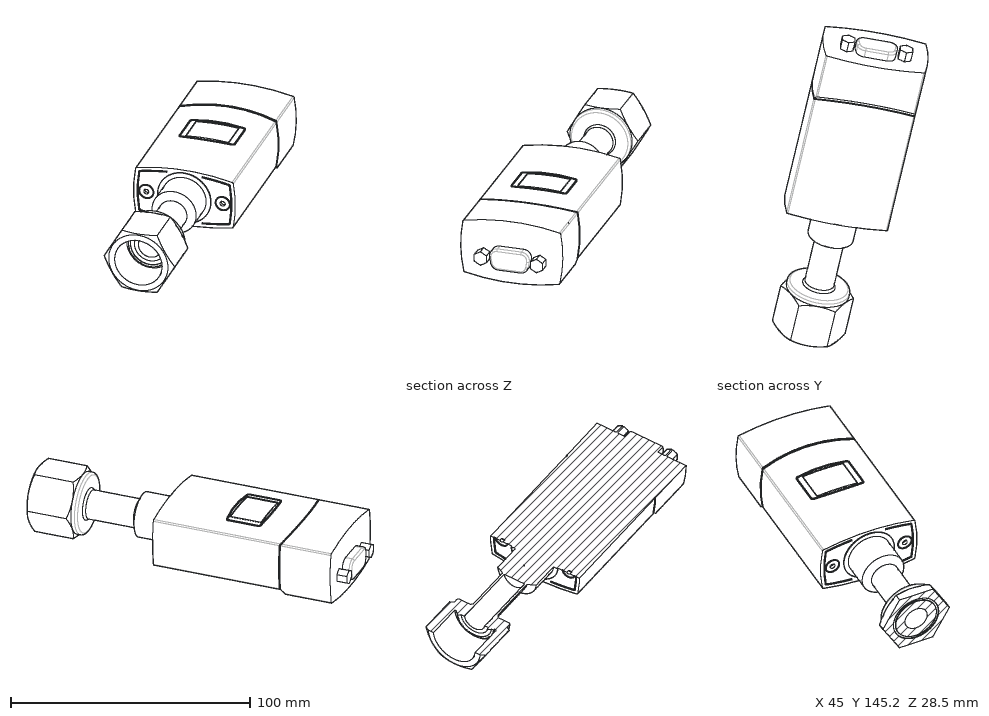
import cadquery as cq
import math


HOUSING_FRONT = 60.5
HOUSING_BACK = 140.7
SIDE_HALF_WIDTH = 22.5
CORNER_HALF_WIDTH = 21.5
CROWN_HEIGHT = 13.0
CORNER_HEIGHT = 10.7
CORNER_ROUND = 0.7
CAP_DROP = 2.0

SEAM_Y = 117.6
SEAM_BEND_HEIGHT = 10.5

GROOVE_WIDTH = 0.5
GROOVE_DEPTH = 0.3

FRAME_Y = 97.3
FRAME_HALF_WIDTH = 12.3
FRAME_HALF_LENGTH = 7.7
FRAME_BULGE = 0.9
FRAME_CORNER = 1.2
WINDOW_WIDTH = 18.9
WINDOW_LENGTH = 14.0
WINDOW_DEPTH = 0.5

PLATE_MARGIN = 1.6
PLATE_CORNER = 0.7
PLATE_GROOVE_START = 7.8
SCREW_X = 16.8
SCREW_HOLE_DIAMETER = 6.5
SCREW_HEAD_DIAMETER = 6.0
SOCKET_DIAMETER = 2.2
SOCKET_DEPTH = 1.5

RING_RADIUS = 11.8
RING_FACE = 60.1
NECK_RADIUS = 9.7
NECK_TAPER_START = 47.0
NECK_TAPER_END = 45.3
TUBE_RADIUS = 6.2
FLARE_START = 23.8
FLARE_RADIUS = 7.0

NUT_FLATS = 27.0
NUT_LENGTH = 20.0
NUT_FACE_RADIUS = 13.0
NUT_CHAMFER_ANGLE = 30.0
COLLAR_RADIUS = 13.43
COLLAR_END = 22.7
COLLAR_ROUND = 1.0

NUT_BORE_RADIUS = 10.5
NUT_BORE_DEPTH = 16.0
GLAND_RADIUS = 9.6
GLAND_HEIGHT = 0.7
BEAD_OUTER_RADIUS = 8.5
BEAD_INNER_RADIUS = 6.8
GAS_HOLE_RADIUS = 5.1
GAS_HOLE_END = 45.0

CONNECTOR_Z = -3.6
CONNECTOR_WIDTH = 18.9
CONNECTOR_HEIGHT = 9.6
CONNECTOR_SIDE_ANGLE = 10.0
CONNECTOR_CORNER = 3.5
CONNECTOR_END = 144.6
CONNECTOR_ROUND = 0.9
JACK_X = 12.3
JACK_FLATS = 5.4
JACK_END = 145.2


def xz_plane(y):
    """Plane across the tube axis at y, with local axes X and Z and its normal along -Y."""
    return cq.Workplane(cq.Plane(origin=(0, y, 0), xDir=(1, 0, 0), normal=(0, -1, 0)))


def cylinder(radius, start, end, x=0.0):
    return xz_plane(start).center(x, 0).circle(radius).extrude(start - end)


def revolve_about_axis(points):
    """Solid of revolution about the tube axis from (radius, y) points."""
    return cq.Workplane("XY").polyline(points).close().revolve(360, (0, 0, 0), (0, 1, 0))


def side_half_width(z):
    """Half width of the housing at height z, following the side arc."""
    bulge = SIDE_HALF_WIDTH - CORNER_HALF_WIDTH
    radius = (CORNER_HEIGHT**2 + bulge**2) / (2 * bulge)
    return SIDE_HALF_WIDTH - radius + math.sqrt(radius**2 - z**2)


def housing_outline(y, drop=0.0):
    low_z = -CORNER_HEIGHT - drop
    low_x = side_half_width(low_z)
    return (
        xz_plane(y)
        .moveTo(-CORNER_HALF_WIDTH, CORNER_HEIGHT)
        .threePointArc((0, CROWN_HEIGHT), (CORNER_HALF_WIDTH, CORNER_HEIGHT))
        .threePointArc((SIDE_HALF_WIDTH, 0), (low_x, low_z))
        .threePointArc((0, -CROWN_HEIGHT - drop), (-low_x, low_z))
        .threePointArc((-SIDE_HALF_WIDTH, 0), (-CORNER_HALF_WIDTH, CORNER_HEIGHT))
        .close()
    )


def housing_block(start, end, drop=0.0):
    block = housing_outline(start, drop).extrude(start - end)
    return block.edges("|Y").fillet(CORNER_ROUND)


def housing_core(depth):
    """Housing shape shrunk by depth, for cuts that go in only that far."""
    return housing_outline(HOUSING_FRONT).offset2D(-depth).extrude(HOUSING_FRONT - HOUSING_BACK)


def extrude_across(points):
    """Prism along X, wider than the housing, from (y, z) points."""
    return cq.Workplane("YZ").polyline(points).close().extrude(SIDE_HALF_WIDTH + 1.5, both=True)


def seam_line(shift):
    """Seam seen from the side as (y, z) points, shifted along Y."""
    reach = CROWN_HEIGHT + CAP_DROP + 1.5
    lean = reach - SEAM_BEND_HEIGHT
    y = SEAM_Y + shift
    return [
        (y + lean, -reach),
        (y, -SEAM_BEND_HEIGHT),
        (y, SEAM_BEND_HEIGHT),
        (y + lean, reach),
    ]


def make_housing():
    front = housing_block(HOUSING_FRONT, HOUSING_BACK)
    (bottom_y, bottom_z), *_, (top_y, top_z) = seam_line(0)
    cap_limits = seam_line(0) + [(HOUSING_BACK, top_z), (HOUSING_BACK, bottom_z)]
    cap = housing_block(SEAM_Y, HOUSING_BACK, CAP_DROP).intersect(extrude_across(cap_limits))
    band = extrude_across(seam_line(-GROOVE_WIDTH / 2) + seam_line(GROOVE_WIDTH / 2)[::-1])
    return front.union(cap).cut(band.cut(housing_core(GROOVE_DEPTH)))


def frame_prism(margin):
    """Vertical prism over the display frame outline, moved inwards by margin."""
    x = FRAME_HALF_WIDTH - margin
    y = FRAME_HALF_LENGTH - margin
    return (
        cq.Workplane("XY")
        .center(0, FRAME_Y)
        .moveTo(-x, y)
        .threePointArc((0, y + FRAME_BULGE), (x, y))
        .lineTo(x, -y)
        .threePointArc((0, -y - FRAME_BULGE), (-x, -y))
        .close()
        .extrude(CROWN_HEIGHT)
        .edges("|Z")
        .fillet(FRAME_CORNER - margin)
    )


def display_cutter():
    groove = frame_prism(0).cut(frame_prism(GROOVE_WIDTH)).cut(housing_core(GROOVE_DEPTH))
    window = cq.Workplane("XY").center(0, FRAME_Y).rect(WINDOW_WIDTH, WINDOW_LENGTH).extrude(CROWN_HEIGHT)
    return groove.union(window.cut(housing_core(WINDOW_DEPTH)))


def plate_prism(margin):
    plate = housing_outline(HOUSING_FRONT).offset2D(-margin).extrude(-GROOVE_DEPTH)
    return plate.edges("|Y").fillet(PLATE_CORNER)


def plate_groove():
    groove = plate_prism(PLATE_MARGIN).cut(plate_prism(PLATE_MARGIN + GROOVE_WIDTH))
    middle = xz_plane(HOUSING_FRONT).rect(2 * PLATE_GROOVE_START, 2 * CROWN_HEIGHT).extrude(-GROOVE_DEPTH)
    return groove.cut(middle)


def screw_cutter(x):
    """Gap around a flush screw head, and the socket in the head."""
    floor = HOUSING_FRONT + GROOVE_DEPTH
    hole = cylinder(SCREW_HOLE_DIAMETER / 2, HOUSING_FRONT, floor, x)
    head = cylinder(SCREW_HEAD_DIAMETER / 2, HOUSING_FRONT, floor, x)
    socket = cylinder(SOCKET_DIAMETER / 2, HOUSING_FRONT, HOUSING_FRONT + SOCKET_DEPTH, x)
    return hole.cut(head).union(socket)


def make_neck():
    """Base ring, tapered neck, tube and the flare where the tube meets the nut."""
    overlap = HOUSING_FRONT + 1.5
    return revolve_about_axis([
        (0, NUT_BORE_DEPTH),
        (FLARE_RADIUS, NUT_BORE_DEPTH),
        (FLARE_RADIUS, COLLAR_END),
        (TUBE_RADIUS, FLARE_START),
        (TUBE_RADIUS, NECK_TAPER_END),
        (NECK_RADIUS, NECK_TAPER_START),
        (NECK_RADIUS, RING_FACE),
        (RING_RADIUS, RING_FACE),
        (RING_RADIUS, overlap),
        (0, overlap),
    ])


def make_nut():
    corner_radius = NUT_FLATS / math.sqrt(3)
    slope = math.tan(math.radians(NUT_CHAMFER_ANGLE))
    front_chamfer = (corner_radius - NUT_FACE_RADIUS) * slope
    back_chamfer = (corner_radius - COLLAR_RADIUS) * slope
    envelope = revolve_about_axis([
        (0, 0),
        (NUT_FACE_RADIUS, 0),
        (corner_radius, front_chamfer),
        (corner_radius, NUT_LENGTH - back_chamfer),
        (COLLAR_RADIUS, NUT_LENGTH),
        (0, NUT_LENGTH),
    ])
    hexagon = xz_plane(0).polygon(6, 2 * corner_radius).extrude(-NUT_LENGTH).intersect(envelope)
    collar = cylinder(COLLAR_RADIUS, NUT_LENGTH, COLLAR_END).faces(">Y").edges().fillet(COLLAR_ROUND)
    bore = cylinder(NUT_BORE_RADIUS, 0, NUT_BORE_DEPTH)
    return hexagon.union(collar).cut(bore)


def make_gland():
    """Raised disc at the bottom of the nut bore with a half-round sealing bead."""
    face = NUT_BORE_DEPTH - GLAND_HEIGHT
    bead_radius = (BEAD_OUTER_RADIUS - BEAD_INNER_RADIUS) / 2
    bead = (
        cq.Workplane("XY")
        .moveTo(BEAD_INNER_RADIUS, face)
        .threePointArc((BEAD_INNER_RADIUS + bead_radius, face - bead_radius), (BEAD_OUTER_RADIUS, face))
        .close()
        .revolve(360, (0, 0, 0), (0, 1, 0))
    )
    return cylinder(GLAND_RADIUS, face, NUT_BORE_DEPTH).union(bead)


def make_connector():
    half_height = CONNECTOR_HEIGHT / 2
    half_top = CONNECTOR_WIDTH / 2
    half_bottom = half_top - CONNECTOR_HEIGHT * math.tan(math.radians(CONNECTOR_SIDE_ANGLE))
    return (
        xz_plane(HOUSING_BACK)
        .center(0, CONNECTOR_Z)
        .polyline([
            (-half_top, half_height),
            (half_top, half_height),
            (half_bottom, -half_height),
            (-half_bottom, -half_height),
        ])
        .close()
        .extrude(HOUSING_BACK - CONNECTOR_END)
        .edges("|Y")
        .fillet(CONNECTOR_CORNER)
        .faces(">Y")
        .edges()
        .fillet(CONNECTOR_ROUND)
    )


def jack_screw(x):
    """Hexagonal screw with a corner pointing up."""
    return (
        xz_plane(HOUSING_BACK)
        .center(x, CONNECTOR_Z)
        .transformed(rotate=(0, 0, 90))
        .polygon(6, 2 * JACK_FLATS / math.sqrt(3))
        .extrude(HOUSING_BACK - JACK_END)
    )


part = make_housing().cut(display_cutter()).cut(plate_groove())
for side in (-1, 1):
    part = part.cut(screw_cutter(side * SCREW_X)).union(jack_screw(side * JACK_X))
part = part.union(make_connector()).union(make_neck()).union(make_nut()).union(make_gland())
result = part.cut(cylinder(GAS_HOLE_RADIUS, 0, GAS_HOLE_END))